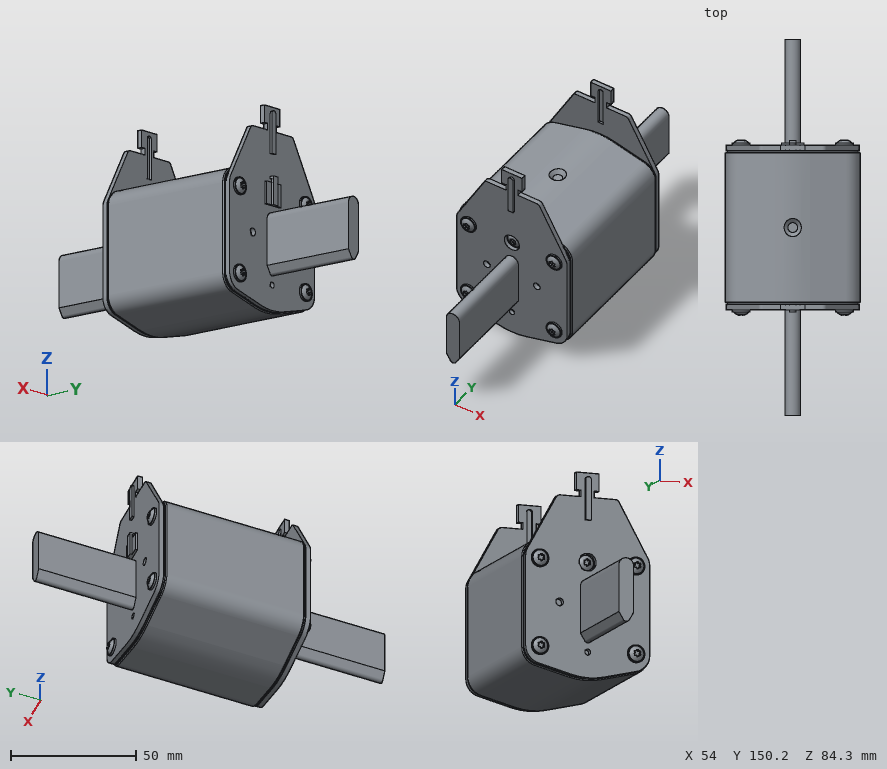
import cadquery as cq
import math

TOTAL_LENGTH = 150.2

BODY_WIDTH = 54.0
BODY_HEIGHT = 60.1
BODY_LENGTH = 60.2
ROOF_ANGLE = 14.0
RIDGE_RADIUS = 29.0
CORNER_RADIUS = 7.4
BODY_EDGE_CHAMFER = 0.5

GASKET_INSET = 0.9
PLATE_INSET = 0.5
PLATE_INNER_Y = 30.8
PLATE_OUTER_Y = 32.9
PLATE_THICKNESS = PLATE_OUTER_Y - PLATE_INNER_Y
PLATE_SIDE_TOP = 50.0
SIDE_BEND_RADIUS = 6.0
SHOULDER_HALF_WIDTH = 12.9
SHOULDER_Z = 74.3
SHOULDER_RADIUS = 2.0

TAB_WIDTH = 9.8
TAB_TOP = 84.3
TAB_BOTTOM = 77.0
NECK_WIDTH = 5.7

RIB_WIDTH = 2.4
RIB_BOTTOM = 64.9
RIB_TOP = 82.6
RIB_HEIGHT = 0.9

BLADE_THICKNESS = 6.3
BLADE_TOP = 40.7
BLADE_TAPER_Z = 18.5
BLADE_BOTTOM = 14.7
BLADE_TIP_HALF = 1.2
BLADE_TIP_RISE = 0.6

SCREW_X = 20.6
SCREW_UPPER_Z = 47.8
SCREW_LOWER_Z = 11.9
SCREW_BASE_RADIUS = 3.6
SCREW_BASE_HEIGHT = 0.8
SCREW_DOME_RADIUS = 3.2
SCREW_HEIGHT = 2.3
SOCKET_RADIUS = 1.0
SOCKET_LOBE_RADIUS = 0.5
SOCKET_DEPTH = 1.4
SOCKET_LOBES = 6

SIDE_HOLE_X = 12.0
SIDE_HOLE_Z = 30.5
SIDE_HOLE_DIAMETER = 3.2
LOW_HOLE_Z = 11.0
LOW_HOLE_DIAMETER = 2.4
PLATE_HOLE_DEPTH = PLATE_THICKNESS

SUNK_SCREW_DEPTH = 2.5
SUNK_WELL_RADIUS = SCREW_BASE_RADIUS

TOP_DIMPLE_RADIUS = 3.6
TOP_DIMPLE_FLOOR_RADIUS = 2.0
TOP_DIMPLE_DEPTH = 1.8

INDICATOR_BOTTOM = 43.5
INDICATOR_PAD_TOP = 52.9
INDICATOR_PAD_WIDTH = 9.0
INDICATOR_PAD_HEIGHT = 0.9
INDICATOR_STRAP_TOP = 55.4
INDICATOR_STRAP_WIDTH = 2.7
INDICATOR_STRAP_HEIGHT = 1.8
INDICATOR_STRAP_WALL = 0.9

FRONT = -1
REAR = 1


def box(x_range, y_range, z_range):
    """Box given by its limits along each axis."""
    spans = [sorted(r) for r in (x_range, y_range, z_range)]
    size = [high - low for low, high in spans]
    corner = [low for low, high in spans]
    return cq.Workplane("XY").box(*size, centered=False).translate(corner)


def slab(right_half, y_start, y_end):
    """Prism along Y, symmetric about X = 0.

    right_half lists (x, z, corner radius) from the bottom up; a radius of 0 keeps the corner sharp.
    """
    left_half = [(-x, z, r) for x, z, r in reversed(right_half) if x > 0]
    corners = right_half + left_half
    outline = [(x, z) for x, z, r in corners]
    solid = cq.Workplane("XZ", origin=(0, y_start, 0)).polyline(outline).close().extrude(y_start - y_end)
    for x, z, r in corners:
        if r > 0:
            middle = (x, (y_start + y_end) / 2, z)
            solid = solid.edges(cq.selectors.NearestToPointSelector(middle)).fillet(r)
    return solid


def lower_corners(inset):
    """Floor ridge and lower side corner of the body outline, moved inwards by inset."""
    angle = math.radians(ROOF_ANGLE)
    half_width = BODY_WIDTH / 2 - inset
    ridge_overshoot = RIDGE_RADIUS * (1 / math.cos(angle) - 1)
    ridge_z = inset / math.cos(angle) - ridge_overshoot
    corner_z = ridge_z + half_width * math.tan(angle)
    return [(0, ridge_z, RIDGE_RADIUS), (half_width, corner_z, CORNER_RADIUS - inset)]


def body_outline(inset):
    """Right half of the body outline, mirrored top to bottom."""
    lower = lower_corners(inset)
    upper = [(x, BODY_HEIGHT - z, r) for x, z, r in reversed(lower)]
    return lower + upper


def make_body():
    half = BODY_LENGTH / 2
    core = slab(body_outline(0), -half, half).faces("<Y or >Y").chamfer(BODY_EDGE_CHAMFER)
    gasket = slab(body_outline(GASKET_INSET), -PLATE_INNER_Y, PLATE_INNER_Y)
    return core.union(gasket)


def make_dimple():
    """Conical dimple in the middle of the roof."""
    floor_z = BODY_HEIGHT - TOP_DIMPLE_DEPTH
    return (
        cq.Workplane("XY", origin=(0, 0, floor_z))
        .circle(TOP_DIMPLE_FLOOR_RADIUS)
        .workplane(offset=TOP_DIMPLE_DEPTH)
        .circle(TOP_DIMPLE_RADIUS)
        .loft()
    )


def make_rib(y_start, y_end):
    """Upright bar with a round top end."""
    radius = RIB_WIDTH / 2
    return (
        cq.Workplane("XZ", origin=(0, y_start, 0))
        .moveTo(-radius, RIB_BOTTOM)
        .lineTo(radius, RIB_BOTTOM)
        .lineTo(radius, RIB_TOP - radius)
        .threePointArc((0, RIB_TOP), (-radius, RIB_TOP - radius))
        .close()
        .extrude(y_start - y_end)
    )


def make_plate(side):
    """End plate with its grip tab and pressed rib; side is FRONT or REAR."""
    inner = side * PLATE_INNER_Y
    outer = side * PLATE_OUTER_Y
    side_x = BODY_WIDTH / 2 - PLATE_INSET
    outline = lower_corners(PLATE_INSET) + [
        (side_x, PLATE_SIDE_TOP, SIDE_BEND_RADIUS),
        (SHOULDER_HALF_WIDTH, SHOULDER_Z, SHOULDER_RADIUS),
    ]
    plate = slab(outline, inner, outer)
    neck_half = NECK_WIDTH / 2
    tab_half = TAB_WIDTH / 2
    plate = plate.union(box((-neck_half, neck_half), (inner, outer), (RIB_BOTTOM, TAB_TOP)))
    plate = plate.union(box((-tab_half, tab_half), (inner, outer), (TAB_BOTTOM, TAB_TOP)))
    plate = plate.union(make_rib(outer, outer + side * RIB_HEIGHT))
    return plate.cut(make_rib(inner, inner + side * RIB_HEIGHT))


def make_blade():
    """Contact blade running the full length: round upper edge, tapered lower edge."""
    half = BLADE_THICKNESS / 2
    tip_z = BLADE_BOTTOM + BLADE_TIP_RISE
    return (
        cq.Workplane("XZ", origin=(0, -TOTAL_LENGTH / 2, 0))
        .moveTo(half, BLADE_TAPER_Z)
        .lineTo(half, BLADE_TOP - half)
        .threePointArc((0, BLADE_TOP), (-half, BLADE_TOP - half))
        .lineTo(-half, BLADE_TAPER_Z)
        .lineTo(-BLADE_TIP_HALF, tip_z)
        .threePointArc((0, BLADE_BOTTOM), (BLADE_TIP_HALF, tip_z))
        .close()
        .extrude(-TOTAL_LENGTH)
    )


def make_screw():
    """Domed screw head on Z = 0 with a lobed socket, axis along +Z."""
    rise = SCREW_HEIGHT - SCREW_BASE_HEIGHT
    sphere_radius = (SCREW_DOME_RADIUS**2 + rise**2) / (2 * rise)
    dome_mid_x = SCREW_DOME_RADIUS / 2
    dome_mid_z = SCREW_HEIGHT - sphere_radius + math.sqrt(sphere_radius**2 - dome_mid_x**2)
    head = (
        cq.Workplane("XZ")
        .lineTo(SCREW_BASE_RADIUS, 0)
        .lineTo(SCREW_BASE_RADIUS, SCREW_BASE_HEIGHT)
        .lineTo(SCREW_DOME_RADIUS, SCREW_BASE_HEIGHT)
        .threePointArc((dome_mid_x, dome_mid_z), (0, SCREW_HEIGHT))
        .close()
        .revolve(360, (0, 0, 0), (0, 1, 0))
    )
    floor = cq.Workplane("XY", origin=(0, 0, SCREW_HEIGHT - SOCKET_DEPTH))
    socket = floor.circle(SOCKET_RADIUS).extrude(SOCKET_DEPTH)
    lobes = (
        floor.polarArray(SOCKET_RADIUS, 90, 360, SOCKET_LOBES)
        .circle(SOCKET_LOBE_RADIUS)
        .extrude(SOCKET_DEPTH)
    )
    return head.cut(socket.union(lobes))


def place_on_plate(shape, side, x, z, y):
    """Turn a shape built along +Z to point outwards at the given side, seated at distance y."""
    return shape.rotate((0, 0, 0), (1, 0, 0), -90 * side).translate((x, side * y, z))


def make_hole(side, x, z, diameter, depth):
    """Cylinder reaching inwards from the outer face of a plate."""
    pin = cq.Workplane("XY").circle(diameter / 2).extrude(depth)
    return place_on_plate(pin, side, x, z, PLATE_OUTER_Y - depth)


def make_indicator():
    """Raised pad on the rear plate with a hooked strap over it."""
    face = PLATE_OUTER_Y
    pad_half = INDICATOR_PAD_WIDTH / 2
    strap_half = INDICATOR_STRAP_WIDTH / 2
    strap_face = face + INDICATOR_STRAP_HEIGHT
    hook_bottom = INDICATOR_STRAP_TOP - INDICATOR_STRAP_WALL
    pad = box(
        (-pad_half, pad_half),
        (face, face + INDICATOR_PAD_HEIGHT),
        (INDICATOR_BOTTOM, INDICATOR_PAD_TOP),
    )
    strap = box((-strap_half, strap_half), (face, strap_face), (INDICATOR_BOTTOM, INDICATOR_STRAP_TOP))
    gap = box(
        (-strap_half, strap_half),
        (face, strap_face - INDICATOR_STRAP_WALL),
        (INDICATOR_PAD_TOP, hook_bottom),
    )
    return pad.union(strap.cut(gap))


screw = make_screw()
result = make_body().cut(make_dimple()).union(make_blade())

for end in (FRONT, REAR):
    result = result.union(make_plate(end))
    for hole_x in (-SIDE_HOLE_X, SIDE_HOLE_X):
        result = result.cut(make_hole(end, hole_x, SIDE_HOLE_Z, SIDE_HOLE_DIAMETER, PLATE_HOLE_DEPTH))
    result = result.cut(make_hole(end, 0, LOW_HOLE_Z, LOW_HOLE_DIAMETER, PLATE_HOLE_DEPTH))
    for screw_x in (-SCREW_X, SCREW_X):
        for screw_z in (SCREW_LOWER_Z, SCREW_UPPER_Z):
            result = result.union(place_on_plate(screw, end, screw_x, screw_z, PLATE_OUTER_Y))

result = result.cut(make_hole(FRONT, 0, SCREW_UPPER_Z, 2 * SUNK_WELL_RADIUS, SUNK_SCREW_DEPTH))
sunk_screw = place_on_plate(screw, FRONT, 0, SCREW_UPPER_Z, PLATE_OUTER_Y - SUNK_SCREW_DEPTH)
result = result.union(sunk_screw)

result = result.union(make_indicator())